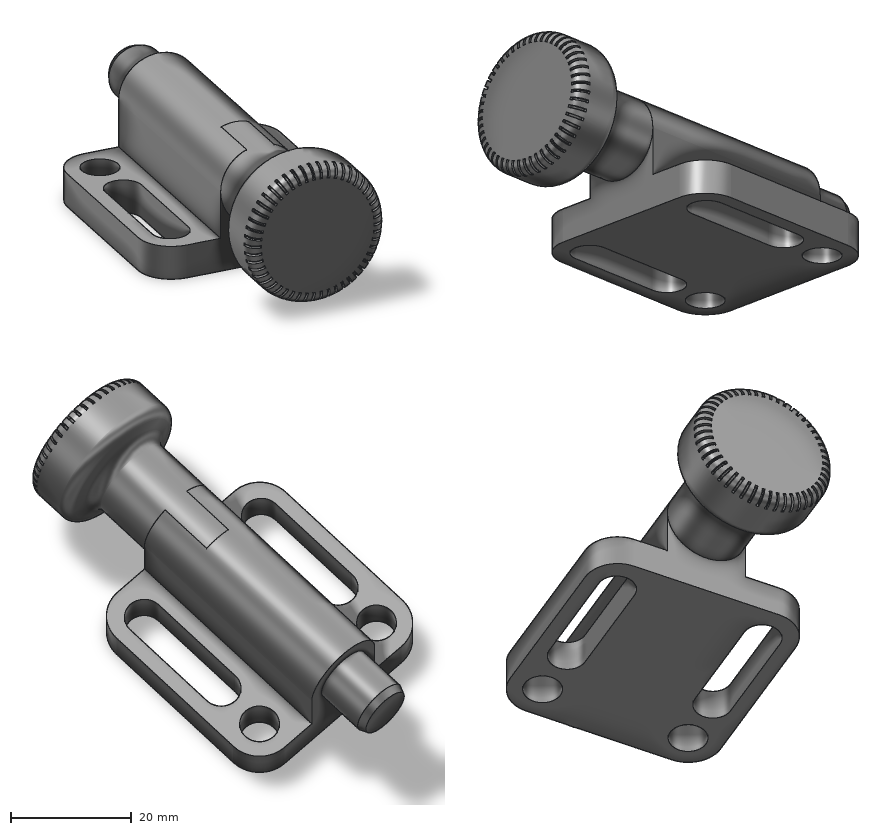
import cadquery as cq
import math

TOTAL_LENGTH = 72.5
AXIS_HEIGHT = 14.5
BARREL_RADIUS = 7.25

HOUSING_LENGTH = 39.95
PLATE_WIDTH = 39.0
PLATE_THICKNESS = 6.0
CORNER_RADIUS = 6.0
HOLE_DIAMETER = 6.6
HOLE_INSET = 6.0
SLOT_LENGTH = 24.95
SLOT_END_MARGIN = 3.1

PIN_RADIUS = 5.0
PIN_PROJECTION = 10.0
TIP_LENGTH = 1.4
TIP_REDUCTION = 0.6
KEY_WIDTH = 5.0
KEY_LENGTH = 9.9
BARREL_LENGTH = 10.4

KNOB_RADIUS = 12.505
FLARE_RADIUS = 2.0
FLARE_ANGLE = 77.0
REAR_RADIUS = 2.2
GROOVE_COUNT = 50
GROOVE_WIDTH = 0.4
GROOVE_DEPTH = 0.6
CUT_MARGIN = 0.7

TIP_X = -PIN_PROJECTION
KNOB_END_X = TIP_X + TOTAL_LENGTH
BARREL_END_X = HOUSING_LENGTH + BARREL_LENGTH
KEY_START_X = HOUSING_LENGTH - KEY_LENGTH
AXIS_START = (0, 0, AXIS_HEIGHT)
AXIS_END = (1, 0, AXIS_HEIGHT)


def axial_cylinder(radius, start_x, length):
    """Cylinder on the plunger axis, running toward +X."""
    return (
        cq.Workplane("YZ", origin=(start_x, 0, AXIS_HEIGHT))
        .circle(radius)
        .extrude(length)
    )


def key_block():
    """Square-sided stock for the key at the top rear of the housing."""
    block = cq.Workplane("XY").box(
        KEY_LENGTH, KEY_WIDTH, BARREL_RADIUS + CUT_MARGIN, centered=(False, True, False)
    )
    return block.translate((KEY_START_X, 0, AXIS_HEIGHT))


def base_plate():
    """Rounded plate with a round hole and a long slot on each side."""
    plate = (
        cq.Workplane("XY")
        .box(HOUSING_LENGTH, PLATE_WIDTH, PLATE_THICKNESS, centered=(False, True, False))
        .edges("|Z")
        .fillet(CORNER_RADIUS)
    )
    hole_y = PLATE_WIDTH / 2 - HOLE_INSET
    slot_x = HOUSING_LENGTH - SLOT_END_MARGIN - SLOT_LENGTH / 2
    holes = (
        cq.Workplane("XY")
        .pushPoints([(HOLE_INSET, -hole_y), (HOLE_INSET, hole_y)])
        .circle(HOLE_DIAMETER / 2)
        .extrude(PLATE_THICKNESS)
    )
    slots = (
        cq.Workplane("XY")
        .pushPoints([(slot_x, -hole_y), (slot_x, hole_y)])
        .slot2D(SLOT_LENGTH, HOLE_DIAMETER)
        .extrude(PLATE_THICKNESS)
    )
    return plate.cut(holes).cut(slots)


def build_housing():
    """Plate and round-topped body, bored for the pin and slotted for the key."""
    body = cq.Workplane("XY").box(
        HOUSING_LENGTH, 2 * BARREL_RADIUS, AXIS_HEIGHT, centered=(False, True, False)
    )
    crown = axial_cylinder(BARREL_RADIUS, 0, HOUSING_LENGTH)
    bore = axial_cylinder(PIN_RADIUS, 0, HOUSING_LENGTH)
    return base_plate().union(body).union(crown).cut(bore).cut(key_block())


def plunger_blank():
    """Turned pin, barrel and knob; the barrel starts at the front of the key."""
    angle = math.radians(FLARE_ANGLE)
    half = angle / 2
    rise = FLARE_RADIUS * (1 - math.cos(angle))
    run = FLARE_RADIUS * math.sin(angle)
    half_rise = FLARE_RADIUS * (1 - math.cos(half))
    half_run = FLARE_RADIUS * math.sin(half)

    slope_rise = KNOB_RADIUS - BARREL_RADIUS - 2 * rise
    rim_x = BARREL_END_X + 2 * run + slope_rise / math.tan(angle)
    rear_x = KNOB_END_X - REAR_RADIUS
    rear_mid = REAR_RADIUS * math.sqrt(0.5)
    rear_radius = KNOB_RADIUS - REAR_RADIUS

    profile = (
        cq.Workplane("XZ", origin=AXIS_START)
        .moveTo(TIP_X, 0)
        .lineTo(TIP_X, PIN_RADIUS - TIP_REDUCTION)
        .lineTo(TIP_X + TIP_LENGTH, PIN_RADIUS)
        .lineTo(KEY_START_X, PIN_RADIUS)
        .lineTo(KEY_START_X, BARREL_RADIUS)
        .lineTo(BARREL_END_X, BARREL_RADIUS)
        .threePointArc(
            (BARREL_END_X + half_run, BARREL_RADIUS + half_rise),
            (BARREL_END_X + run, BARREL_RADIUS + rise),
        )
        .lineTo(rim_x - run, KNOB_RADIUS - rise)
        .threePointArc((rim_x - half_run, KNOB_RADIUS - half_rise), (rim_x, KNOB_RADIUS))
        .lineTo(rear_x, KNOB_RADIUS)
        .threePointArc((rear_x + rear_mid, rear_radius + rear_mid), (KNOB_END_X, rear_radius))
        .lineTo(KNOB_END_X, 0)
        .close()
    )
    return profile.revolve(360, (0, 0, 0), (1, 0, 0))


def key_surround():
    """Sleeve around the pin, split at the key, that turns the barrel's front into the key."""
    sleeve = axial_cylinder(BARREL_RADIUS + CUT_MARGIN, KEY_START_X, KEY_LENGTH)
    return sleeve.cut(axial_cylinder(PIN_RADIUS, KEY_START_X, KEY_LENGTH)).cut(key_block())


def knurl_groove():
    """Cutter for one groove of even depth along the knob's rear rounding, at -Y."""
    start_x = KNOB_END_X - REAR_RADIUS
    centre_y = REAR_RADIUS - KNOB_RADIUS
    floor_radius = REAR_RADIUS - GROOVE_DEPTH
    floor_mid = floor_radius * math.sqrt(0.5)
    outer_x = KNOB_END_X + CUT_MARGIN
    outer_y = -KNOB_RADIUS - CUT_MARGIN
    return (
        cq.Workplane("XY", origin=AXIS_START)
        .moveTo(start_x, centre_y - floor_radius)
        .threePointArc((start_x + floor_mid, centre_y - floor_mid), (start_x + floor_radius, centre_y))
        .lineTo(outer_x, centre_y)
        .lineTo(outer_x, outer_y)
        .lineTo(start_x, outer_y)
        .close()
        .extrude(GROOVE_WIDTH / 2, both=True)
    )


def build_plunger():
    """Plunger with its key and the ring of knurl grooves on the knob."""
    groove = knurl_groove()
    grooves = [
        groove.rotate(AXIS_START, AXIS_END, index * 360 / GROOVE_COUNT).val()
        for index in range(GROOVE_COUNT)
    ]
    cutter = cq.Workplane("XY").newObject([cq.Compound.makeCompound(grooves)])
    return plunger_blank().cut(key_surround()).cut(cutter)


housing = build_housing()
plunger = build_plunger()

result = cq.Compound.makeCompound([housing.val(), plunger.val()])